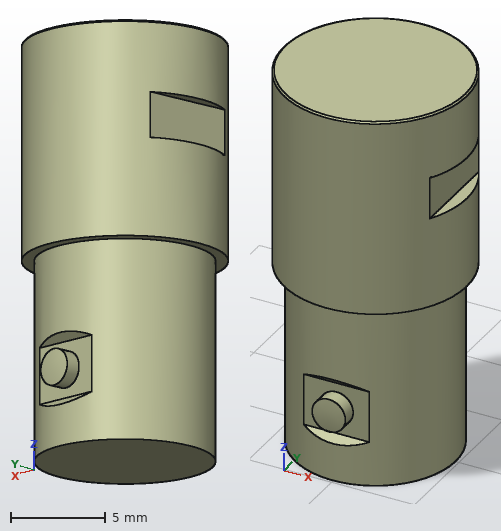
import cadquery as cq

total_height = 22.85
collar_diameter = 11.0
collar_base_z = 11.0
top_chamfer = 0.1

wrench_across_flats = 9.5
wrench_slot_top_z = 18.93
wrench_slot_height = 2.5

shank_diameter = 9.65

recess_across_flats = 8.8
recess_flat_height = 3.1
pin_center_z = 4.25

pin_diameter = 2.0
pin_span = 10.75


def make_body():
    """Stepped cylinder with a lightly chamfered top edge."""
    shank = cq.Workplane("XY").circle(shank_diameter / 2).extrude(collar_base_z)
    collar = (
        cq.Workplane("XY", origin=(0, 0, collar_base_z))
        .circle(collar_diameter / 2)
        .extrude(total_height - collar_base_z)
        .faces(">Z")
        .edges()
        .chamfer(top_chamfer)
    )
    return shank.union(collar)


def make_wrench_slot(side):
    """Cutter for one straight slot; side is -1 for -X and +1 for +X."""
    depth = collar_diameter / 2
    center_x = side * (wrench_across_flats + depth) / 2
    center_z = wrench_slot_top_z - wrench_slot_height / 2
    return cq.Workplane("XY", origin=(center_x, 0, center_z)).box(
        depth, collar_diameter, wrench_slot_height
    )


def make_pin_recess(side):
    """Cutter for one flat-bottomed recess; side is -1 for -Y and +1 for +Y."""
    flat_y = recess_across_flats / 2
    mouth_y = collar_diameter / 2
    flat_half = recess_flat_height / 2
    mouth_half = flat_half + mouth_y - flat_y
    profile = [
        (side * flat_y, pin_center_z - flat_half),
        (side * mouth_y, pin_center_z - mouth_half),
        (side * mouth_y, pin_center_z + mouth_half),
        (side * flat_y, pin_center_z + flat_half),
    ]
    return (
        cq.Workplane("YZ")
        .polyline(profile)
        .close()
        .extrude(shank_diameter / 2, both=True)
    )


def make_cross_pin():
    """Pin along Y, trimmed by a sphere at its middle so both ends are domed."""
    pin = (
        cq.Workplane("XZ", origin=(0, 0, pin_center_z))
        .circle(pin_diameter / 2)
        .extrude(pin_span, both=True)
    )
    end_envelope = cq.Workplane("XY", origin=(0, 0, pin_center_z)).sphere(pin_span / 2)
    return pin.intersect(end_envelope)


result = make_body()
for side in (-1, 1):
    result = result.cut(make_wrench_slot(side))
    result = result.cut(make_pin_recess(side))
result = result.union(make_cross_pin())